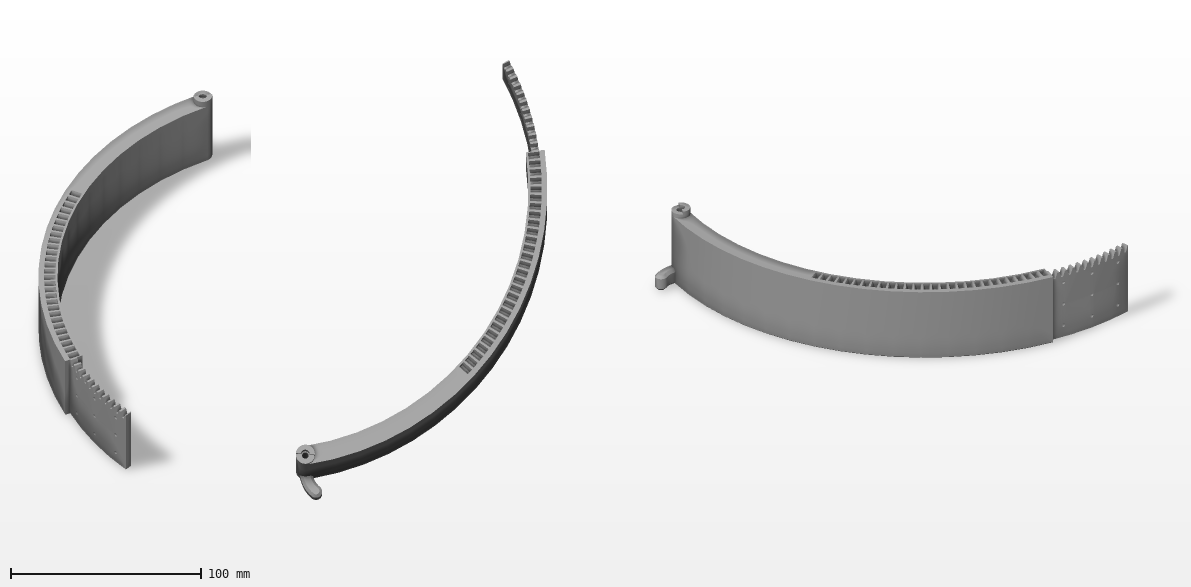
import cadquery as cq
import math

wall_outer_radius = 150.0
wall_inner_radius = 140.0
wall_height = 40.0
wall_foot_chamfer = 0.5
hinge_angle = 171.0
wall_end_angle = 260.0

tongue_outer_radius = 147.0
tongue_inner_radius = 143.0
tongue_centre_angle = 270.0
tongue_end_angle = 2 * tongue_centre_angle - wall_end_angle

tooth_module = 1.5
tooth_pitch = math.pi * tooth_module
pressure_angle = 20.0
tooth_depth = 2.25 * tooth_module
addendum = tooth_module
tongue_pitches = 11
pitch_angle = (tongue_end_angle - wall_end_angle) / tongue_pitches
first_gap_index = -33
last_gap_index = 5
rack_rim_thickness = 1.0

pin_hole_diameter = 2.0
pin_hole_angle_step = 7.0
pin_hole_height_step = 13.0

barrel_radius = (wall_outer_radius - wall_inner_radius) / 2
barrel_centre_radius = (wall_outer_radius + wall_inner_radius) / 2
barrel_height = 44.0
barrel_step = 1.5
barrel_step_angle = 67.0
bore_diameter = 3.4
counterbore_diameter = 4.6
counterbore_depth = 4.0
barrel_x = barrel_centre_radius * math.cos(math.radians(hinge_angle))
barrel_y = barrel_centre_radius * math.sin(math.radians(hinge_angle))

lever_width = 6.6
lever_height = 9.0
lever_chamfer = 1.5
lever_bend_outer_radius = 17.0
lever_bend_x = -149.8
lever_outer_y = 26.8
lever_tip_radius = lever_width / 2
lever_tip_x = -160.48


def polar(radius, angle):
    """Point at a radius and an angle in degrees."""
    return (radius * math.cos(math.radians(angle)), radius * math.sin(math.radians(angle)))


def arc_wall(inner_radius, outer_radius, start_angle, end_angle, height):
    """Upright wall following an arc about the Z axis."""
    middle_angle = (start_angle + end_angle) / 2
    return (
        cq.Workplane("XY")
        .moveTo(*polar(outer_radius, start_angle))
        .threePointArc(polar(outer_radius, middle_angle), polar(outer_radius, end_angle))
        .lineTo(*polar(inner_radius, end_angle))
        .threePointArc(polar(inner_radius, middle_angle), polar(inner_radius, start_angle))
        .close()
        .extrude(height)
    )


def make_wall():
    """Wall with its outer bottom edge chamfered."""
    wall = arc_wall(wall_inner_radius, wall_outer_radius, hinge_angle, wall_end_angle, wall_height)
    outer_foot_point = polar(wall_outer_radius, (hinge_angle + wall_end_angle) / 2)
    outer_foot_edge = cq.selectors.NearestToPointSelector((*outer_foot_point, 0))
    return wall.faces("<Z").edges(outer_foot_edge).chamfer(wall_foot_chamfer)


def make_tongue():
    """Thin tongue carrying on from the end of the wall."""
    return arc_wall(
        tongue_inner_radius, tongue_outer_radius, wall_end_angle, tongue_end_angle, wall_height
    )


def radial_plane(angle):
    """Plane on the Z axis whose normal points outward at the angle, with local Y along Z."""
    across = (-math.sin(math.radians(angle)), math.cos(math.radians(angle)), 0)
    outward = (*polar(1, angle), 0)
    return cq.Plane(origin=(0, 0, 0), xDir=across, normal=outward)


def tooth_gap(index):
    """Cutter for one gap between teeth, from the wall's inner rim out to the tongue's outer face."""
    flank_slope = math.tan(math.radians(pressure_angle))
    half_top = tooth_pitch / 4 + addendum * flank_slope
    half_root = half_top - tooth_depth * flank_slope
    start_radius = wall_inner_radius + rack_rim_thickness
    root_height = wall_height - tooth_depth
    return (
        cq.Workplane(radial_plane(tongue_centre_angle + index * pitch_angle))
        .workplane(offset=start_radius)
        .moveTo(-half_root, root_height)
        .lineTo(half_root, root_height)
        .lineTo(half_top, wall_height)
        .lineTo(-half_top, wall_height)
        .close()
        .extrude(tongue_outer_radius - start_radius)
        .val()
    )


def cut_teeth(strap):
    """Rack gaps along the tongue and back into the top of the wall."""
    gaps = [tooth_gap(index) for index in range(first_gap_index, last_gap_index + 1)]
    return strap.cut(cq.Workplane(cq.Compound.makeCompound(gaps)))


def cut_pin_holes(strap):
    """Radial holes in a square array centred on the tongue."""
    for column in (-1, 0, 1):
        plane = radial_plane(tongue_centre_angle + column * pin_hole_angle_step)
        heights = [wall_height / 2 + row * pin_hole_height_step for row in (-1, 0, 1)]
        pins = (
            cq.Workplane(plane)
            .pushPoints([(0, height) for height in heights])
            .circle(pin_hole_diameter / 2)
            .extrude(wall_outer_radius)
        )
        strap = strap.cut(pins)
    return strap


def make_barrel():
    """Upright cylinder whose top is lower on the half facing the lever."""
    barrel = cq.Workplane("XY").circle(barrel_radius).extrude(barrel_height)
    low_half = (
        cq.Workplane("XY")
        .box(2 * barrel_radius, 4 * barrel_radius, barrel_step, centered=(False, True, False))
        .rotate((0, 0, 0), (0, 0, 1), barrel_step_angle + 90)
        .translate((0, 0, barrel_height - barrel_step))
    )
    return barrel.cut(low_half).translate((barrel_x, barrel_y, 0))


def make_lever():
    """Chamfered lever, drawn about the centre of its bend."""
    outer_radius = lever_bend_outer_radius
    inner_radius = outer_radius - lever_width
    shank_length = barrel_x - lever_bend_x
    tip_centre_radius = outer_radius - lever_tip_radius
    tip_centre_x = lever_tip_x + lever_tip_radius - lever_bend_x
    tip_angle = math.degrees(math.acos(tip_centre_x / tip_centre_radius))
    tip_centre = cq.Vector(*polar(tip_centre_radius, tip_angle))
    tip = tip_centre + cq.Vector(*polar(lever_tip_radius, tip_angle + 90))
    middle_angle = (90 + tip_angle) / 2
    return (
        cq.Workplane("XY")
        .moveTo(shank_length, outer_radius)
        .lineTo(0, outer_radius)
        .threePointArc(polar(outer_radius, middle_angle), polar(outer_radius, tip_angle))
        .threePointArc((tip.x, tip.y), polar(inner_radius, tip_angle))
        .threePointArc(polar(inner_radius, middle_angle), (0, inner_radius))
        .lineTo(shank_length, inner_radius)
        .close()
        .extrude(lever_height)
        .faces("<Z or >Z")
        .edges()
        .chamfer(lever_chamfer)
        .translate((lever_bend_x, lever_outer_y - outer_radius, 0))
    )


def cut_bore(strap):
    """Through bore of the barrel, counterbored from the top."""
    bore = cq.Workplane("XY").circle(bore_diameter / 2).extrude(barrel_height)
    counterbore = (
        cq.Workplane("XY")
        .workplane(offset=barrel_height - counterbore_depth)
        .circle(counterbore_diameter / 2)
        .extrude(counterbore_depth)
    )
    return strap.cut(bore.union(counterbore).translate((barrel_x, barrel_y, 0)))


strap = make_wall().union(make_tongue())
strap = cut_teeth(strap)
strap = cut_pin_holes(strap)
strap = strap.union(make_barrel()).union(make_lever())
result = cut_bore(strap)